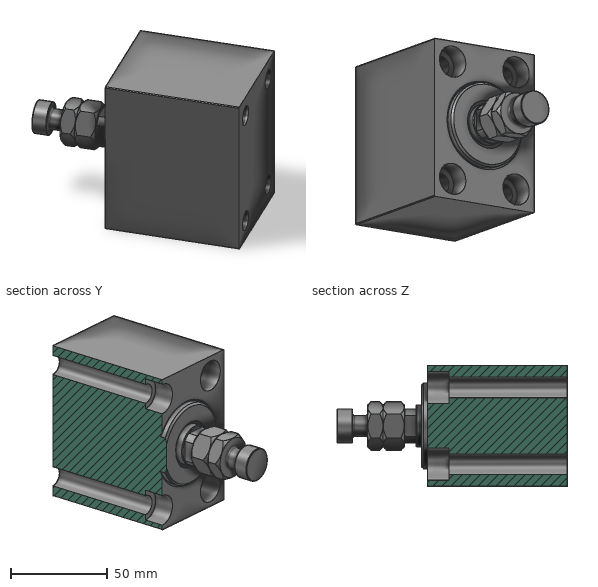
import cadquery as cq
import math


NECK_START = 8.0
STUD_HEX_START = 16.0
NUT_START = 24.0
NUT_END = 35.0
COLLAR_START = 41.0
LIP_START = 44.0
HOUSING_FACE = 47.0
HOUSING_BACK = 120.0

HOUSING_WIDTH = 63.0
HOUSING_HEIGHT = 85.0
HOUSING_CHAMFER = 0.5

LIP_DIAMETER = 44.9
LIP_CHAMFER = 1.1
RELIEF_WIDTH = 1.1
WIPER_DIAMETER = 25.5
WIPER_DEPTH = 1.5

HOLE_SPACING_Y = 40.0
HOLE_SPACING_Z = 63.0
HOLE_DIAMETER = 10.5
COUNTERBORE_DIAMETER = 16.5
COUNTERBORE_DEPTH = 11.2

ROD_DIAMETER = 22.0
COLLAR_CHAMFER = 0.5
ROD_NECK_DIAMETER = ROD_DIAMETER - 2 * COLLAR_CHAMFER
ROD_END_CHAMFER = 0.5
ROD_FLAT_WIDTH = 17.9
ROD_DEPTH_IN_HOUSING = 48.0

HEX_ACROSS_FLATS = 22.0
HEX_ACROSS_CORNERS = HEX_ACROSS_FLATS / math.cos(math.pi / 6)
HEX_CHAMFER = 1.8
HEAD_DIAMETER = 17.8
HEAD_CHAMFER = 0.4
NECK_DIAMETER = 11.0
NECK_FILLET = 1.0
THREAD_DIAMETER = 14.0
THREAD_DEPTH_IN_ROD = 15.0


def plane_at(x):
    """Sketch plane facing +X at station x; its sketch axes are Y and Z."""
    return cq.Workplane("YZ", origin=(x, 0, 0))


def cylinder(start, end, diameter):
    return plane_at(start).circle(diameter / 2).extrude(end - start)


def double_chamfered_hex(start, end):
    """Hexagon with two flats facing +Z and -Z and its corners turned off at both ends."""
    length = end - start
    prism = plane_at(start).polygon(6, HEX_ACROSS_CORNERS).extrude(length)
    envelope = cylinder(start, end, HEX_ACROSS_CORNERS).faces("<X or >X").chamfer(HEX_CHAMFER)
    return prism.intersect(envelope)


def make_housing():
    length = HOUSING_BACK - HOUSING_FACE
    block = plane_at(HOUSING_FACE).rect(HOUSING_WIDTH, HOUSING_HEIGHT).extrude(length)
    block = block.edges("|X").chamfer(HOUSING_CHAMFER)

    relief = (
        plane_at(HOUSING_FACE)
        .circle(LIP_DIAMETER / 2 + RELIEF_WIDTH)
        .workplane(offset=RELIEF_WIDTH)
        .circle(LIP_DIAMETER / 2)
        .loft()
    )
    lip = cylinder(LIP_START, HOUSING_FACE + RELIEF_WIDTH, LIP_DIAMETER)
    lip = lip.faces("<X").edges().chamfer(LIP_CHAMFER)
    housing = block.cut(relief).union(lip)

    wiper_recess = cylinder(LIP_START, LIP_START + WIPER_DEPTH, WIPER_DIAMETER)
    rod_bore = cylinder(LIP_START, HOUSING_FACE + ROD_DEPTH_IN_HOUSING, ROD_DIAMETER)
    housing = housing.cut(wiper_recess).cut(rod_bore)

    for y in (-HOLE_SPACING_Y / 2, HOLE_SPACING_Y / 2):
        for z in (-HOLE_SPACING_Z / 2, HOLE_SPACING_Z / 2):
            through = cylinder(HOUSING_FACE, HOUSING_BACK, HOLE_DIAMETER)
            counterbore = cylinder(HOUSING_FACE, HOUSING_FACE + COUNTERBORE_DEPTH, COUNTERBORE_DIAMETER)
            housing = housing.cut(through.union(counterbore).translate((0, y, z)))
    return housing


def make_rod():
    collar = cylinder(COLLAR_START, HOUSING_FACE + ROD_DEPTH_IN_HOUSING, ROD_DIAMETER)
    collar = collar.faces("<X").edges().chamfer(COLLAR_CHAMFER)

    neck = cylinder(NUT_END, COLLAR_START, ROD_NECK_DIAMETER)
    neck = neck.faces("<X").edges().chamfer(ROD_END_CHAMFER)
    flats = plane_at(NUT_END).rect(ROD_FLAT_WIDTH, ROD_FLAT_WIDTH).extrude(COLLAR_START - NUT_END)

    threaded_hole = cylinder(NUT_END, NUT_END + THREAD_DEPTH_IN_ROD, THREAD_DIAMETER)
    return collar.union(neck.intersect(flats)).cut(threaded_hole)


def make_nut():
    return double_chamfered_hex(NUT_START, NUT_END).cut(cylinder(NUT_START, NUT_END, THREAD_DIAMETER))


def make_stud():
    head = cylinder(0, NECK_START, HEAD_DIAMETER).faces("<X or >X").chamfer(HEAD_CHAMFER)

    neck_radius = NECK_DIAMETER / 2
    flare_radius = neck_radius + NECK_FILLET
    sag = NECK_FILLET * (1 - math.sqrt(0.5))
    neck = (
        cq.Workplane("XY")
        .moveTo(NECK_START, 0)
        .lineTo(NECK_START, flare_radius)
        .threePointArc((NECK_START + sag, neck_radius + sag), (NECK_START + NECK_FILLET, neck_radius))
        .lineTo(STUD_HEX_START - NECK_FILLET, neck_radius)
        .threePointArc((STUD_HEX_START - sag, neck_radius + sag), (STUD_HEX_START, flare_radius))
        .lineTo(STUD_HEX_START, 0)
        .close()
        .revolve(360, (0, 0, 0), (1, 0, 0))
    )

    wrench_hex = double_chamfered_hex(STUD_HEX_START, NUT_START)
    thread = cylinder(NUT_START, NUT_END + THREAD_DEPTH_IN_ROD, THREAD_DIAMETER)
    return head.union(neck).union(wrench_hex).union(thread)


housing = make_housing()
rod = make_rod()
nut = make_nut()
stud = make_stud()

result = cq.Compound.makeCompound([housing.val(), rod.val(), nut.val(), stud.val()])